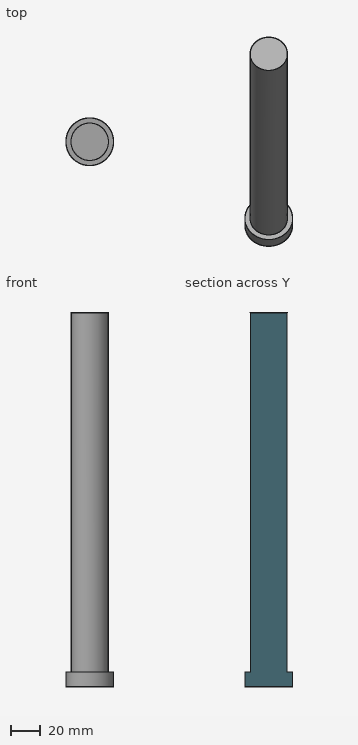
import cadquery as cq

total_length = 250.0
head_diameter = 32.0
head_height = 10.0
shank_diameter = 25.0
shank_length = total_length - head_height

head = cq.Workplane("XY").circle(head_diameter / 2).extrude(head_height)

result = head.faces(">Z").workplane().circle(shank_diameter / 2).extrude(shank_length)